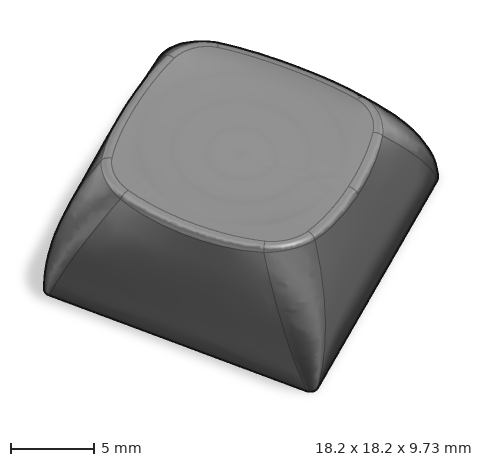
import cadquery as cq

base_side = 18.12
base_corner_radius = 0.51
body_height = 10.0
top_side = 14.24
top_corner_inset = 1.57
top_corner_radius = 4.2
top_tilt = -7.0

mid_fraction = 0.5
mid_side = 17.23
mid_corner_radius = 2.0

dish_radius = 36.5
dish_bottom_height = 8.01
rim_fillet = 0.58


def rounded_square(side, radius):
    return cq.Sketch().rect(side, side).vertices().fillet(radius)


def cushion():
    """Square with four outward-bowed sides and rounded corners."""
    half = top_side / 2
    corner = half - top_corner_inset
    corners = [(-corner, -corner), (-corner, corner), (corner, corner), (corner, -corner)]
    side_middles = [(-half, 0), (0, half), (half, 0), (0, -half)]
    sketch = cq.Sketch()
    for i, middle in enumerate(side_middles):
        next_corner = corners[(i + 1) % len(corners)]
        sketch = sketch.arc(corners[i], middle, next_corner)
    return sketch.assemble().vertices().fillet(top_corner_radius)


def raised(sketch, fraction):
    """Lift a section to a fraction of the height, tilting it in proportion."""
    position = cq.Vector(0, 0, body_height * fraction)
    tilt_axis = cq.Vector(1, 0, 0)
    return sketch.moved(cq.Location(position, tilt_axis, top_tilt * fraction))


def make_body():
    base = rounded_square(base_side, base_corner_radius)
    middle = raised(rounded_square(mid_side, mid_corner_radius), mid_fraction)
    top = raised(cushion(), 1)
    return cq.Workplane("XY").placeSketch(base, middle, top).loft()


def make_dish():
    dish_bottom = (0, 0, dish_bottom_height)
    return (
        cq.Workplane("XY")
        .sphere(dish_radius)
        .translate((0, 0, dish_radius))
        .rotate((0, 0, 0), (1, 0, 0), top_tilt)
        .translate(dish_bottom)
    )


carved = make_body().cut(make_dish())
result = carved.faces("%SPHERE").edges().fillet(rim_fillet)